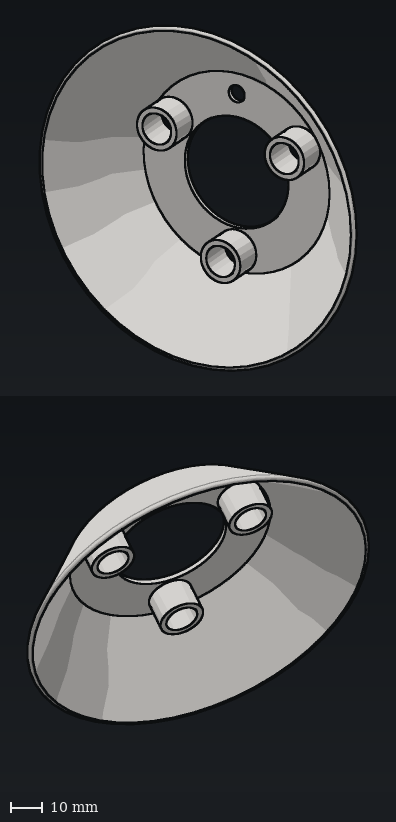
import cadquery as cq
import math

cup_depth = 27.0
back_radius = 35.0
wall_angle = math.radians(42.0)
wall_thickness = 2.0
rim_fillet = 1.0

center_hole_diameter = 38.0
pin_hole_diameter = 5.75

boss_diameter = 14.5
boss_bore_diameter = 10.5
boss_height = 10.0
pitch_radius = 27.0
boss_angles = (30.0, 150.0, 270.0)
pin_hole_angle = 90.0

floor_y = cup_depth - wall_thickness
wall_slope = math.tan(wall_angle)
rim_outer_radius = back_radius + cup_depth * wall_slope
rim_inner_radius = rim_outer_radius - wall_thickness / math.cos(wall_angle)
floor_radius = rim_inner_radius - floor_y * wall_slope


def pitch_point(angle):
    """X, Z position on the pitch circle, with the angle in degrees from +X toward +Z."""
    turn = math.radians(angle)
    return pitch_radius * math.cos(turn), pitch_radius * math.sin(turn)


def cylinder_along_y(diameter, start_y, end_y, center=(0.0, 0.0)):
    """Solid cylinder parallel to Y, centred at the given X, Z."""
    x, z = center
    return cq.Workplane(
        cq.Solid.makeCylinder(
            diameter / 2,
            end_y - start_y,
            cq.Vector(x, start_y, z),
            cq.Vector(0, 1, 0),
        )
    )


def make_cup():
    """Revolved cone of even thickness with its outer rim edge rounded."""
    outer = (
        cq.Workplane("XY")
        .polyline([(0, 0), (rim_outer_radius, 0), (back_radius, cup_depth), (0, cup_depth)])
        .close()
        .revolve(360, (0, 0, 0), (0, 1, 0))
        .faces("<Y")
        .edges()
        .fillet(rim_fillet)
    )
    cavity = (
        cq.Workplane("XY")
        .polyline([(0, 0), (rim_inner_radius, 0), (floor_radius, floor_y), (0, floor_y)])
        .close()
        .revolve(360, (0, 0, 0), (0, 1, 0))
    )
    return outer.cut(cavity)


def add_bosses(body):
    """Stand the bosses on the floor and bore each one right through it."""
    for angle in boss_angles:
        center = pitch_point(angle)
        root_y = floor_y + wall_thickness / 2
        body = body.union(cylinder_along_y(boss_diameter, floor_y - boss_height, root_y, center))
        body = body.cut(cylinder_along_y(boss_bore_diameter, 0, cup_depth, center))
    return body


def cut_floor_holes(body):
    """Cut the central opening and the small pin hole through the floor."""
    body = body.cut(cylinder_along_y(center_hole_diameter, 0, cup_depth))
    return body.cut(cylinder_along_y(pin_hole_diameter, 0, cup_depth, pitch_point(pin_hole_angle)))


result = cut_floor_holes(add_bosses(make_cup()))